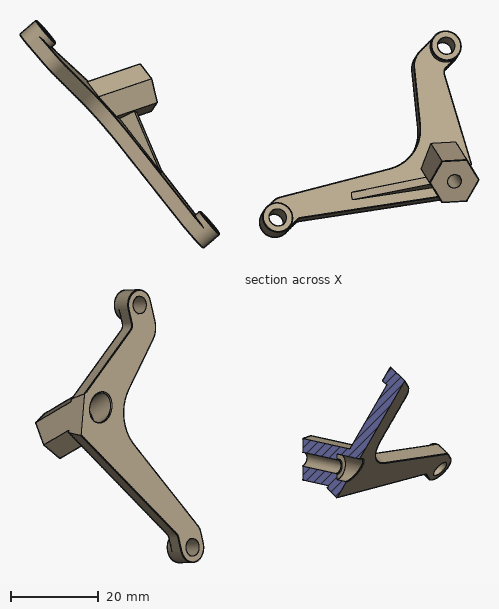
import cadquery as cq
import math

TILT = 32.0
PLATE_THICKNESS = 3.5
EDGE_CHAMFER = 0.15

UPPER_EAR = (-2.7, 26.1)
LOWER_EAR = (40.3, -12.0)
EAR_RADIUS = 3.5
EAR_THICKNESS = 5.0
EAR_HOLE_DIAMETER = 4.0
EAR_FLANK_ANGLE = 41.0

UPPER_ARM_INNER_X = 5.0
INNER_CORNER = (UPPER_ARM_INNER_X, -0.05)
LOWER_ARM_TOP_SLOPE = -0.2
LEFT_EDGE_FOOT = (-5.75, 0.0)
LEFT_EDGE_SLOPE = 5.2
BOTTOM_EDGE_SLOPE = -0.095
BOTTOM_EDGE_RISE = -8.8
INNER_CORNER_RADIUS = 10.0
UPPER_SHOULDER_RADIUS = 5.0
LOWER_SHOULDER_RADIUS = 3.25
NECK_RADIUS = 1.5

HEX_FLATS = 10.0
HEX_BACK_Y = 14.7
HEX_CORNER_DIAMETER = HEX_FLATS / math.cos(math.radians(30))
BOLT_HOLE_DIAMETER = 3.2
COUNTERBORE_DIAMETER = 6.0
COUNTERBORE_FLOOR_Y = 4.6
HOLE_CHAMFER = 0.2

RIB_WIDTH = 1.8
RIB_INSET = 2.4
RIB_END_X = 22.45
RIB_TIP_HEIGHT = 0.05
RIB_ROOT_X = HEX_CORNER_DIAMETER / 2
RIB_ROOT_HEIGHT = 3.65
RIB_TIP_RADIUS = 0.4

REACH = 100.0


def plate_plane(height=0.0):
    """Plane parallel to the plate, the given height behind its front face."""
    tilt = math.radians(TILT)
    normal = (0, math.cos(tilt), math.sin(tilt))
    origin = tuple(height * part for part in normal)
    return cq.Plane(origin=origin, xDir=(-1, 0, 0), normal=normal)


def on_plate(points):
    return [(-across, up) for across, up in points]


def crossing(start, slope, other_start, other_slope):
    """Point where two sloped lines meet."""
    x = other_start[1] - start[1] + slope * start[0] - other_slope * other_start[0]
    x /= slope - other_slope
    return x, start[1] + slope * (x - start[0])


def flank_point(ear, side):
    """Point where the ear circle meets its upper (+1) or lower (-1) flank."""
    angle = math.radians(EAR_FLANK_ANGLE)
    return (
        ear[0] + side * EAR_RADIUS * math.sin(angle),
        ear[1] + side * EAR_RADIUS * math.cos(angle),
    )


def bottom_edge(x, inset=0.0):
    return x, BOTTOM_EDGE_RISE + BOTTOM_EDGE_SLOPE * x + inset


def plate_prism(points, height=PLATE_THICKNESS, base=0.0):
    return cq.Workplane(plate_plane(base)).polyline(on_plate(points)).close().extrude(height)


def plate_disc(center, radius, height):
    return cq.Workplane(plate_plane()).pushPoints(on_plate([center])).circle(radius).extrude(height)


def round_corner(body, corner, radius):
    """Fillet the plate's through-thickness edge at one outline corner."""
    middle = plate_plane(PLATE_THICKNESS / 2).toWorldCoords(on_plate([corner])[0])
    return body.edges(cq.selectors.NearestToPointSelector(middle.toTuple())).fillet(radius)


def socket_lower_left_cutter():
    """Everything outside the socket's lower-left flat, carried on along Y."""
    angle = math.radians(60)
    vertex = (-HEX_CORNER_DIAMETER / 2, 0)
    run = (REACH * math.cos(angle), REACH * math.sin(angle))
    upper = (vertex[0] - run[0], run[1])
    lower = (vertex[0] + run[0], -run[1])
    corner = (upper[0], lower[1])
    return cq.Workplane("XZ").polyline([upper, lower, corner]).close().extrude(REACH / 2, both=True)


def make_plate():
    flank_slope = -math.tan(math.radians(EAR_FLANK_ANGLE))
    upper_top = flank_point(UPPER_EAR, 1)
    upper_bottom = flank_point(UPPER_EAR, -1)
    lower_top = flank_point(LOWER_EAR, 1)
    lower_bottom = flank_point(LOWER_EAR, -1)

    upper_shoulder = (
        UPPER_ARM_INNER_X,
        upper_top[1] + flank_slope * (UPPER_ARM_INNER_X - upper_top[0]),
    )
    lower_shoulder = crossing(INNER_CORNER, LOWER_ARM_TOP_SLOPE, lower_top, flank_slope)
    lower_neck = crossing(bottom_edge(0), BOTTOM_EDGE_SLOPE, lower_bottom, flank_slope)
    upper_neck = crossing(LEFT_EDGE_FOOT, LEFT_EDGE_SLOPE, upper_bottom, flank_slope)
    outer_corner = crossing(LEFT_EDGE_FOOT, LEFT_EDGE_SLOPE, bottom_edge(0), BOTTOM_EDGE_SLOPE)

    plate = plate_prism(
        [
            upper_top,
            upper_shoulder,
            INNER_CORNER,
            lower_shoulder,
            lower_top,
            LOWER_EAR,
            lower_bottom,
            lower_neck,
            outer_corner,
            upper_neck,
            upper_bottom,
            UPPER_EAR,
        ]
    )
    plate = round_corner(plate, INNER_CORNER, INNER_CORNER_RADIUS)
    plate = round_corner(plate, upper_shoulder, UPPER_SHOULDER_RADIUS)
    plate = round_corner(plate, lower_shoulder, LOWER_SHOULDER_RADIUS)
    for corner in (upper_neck, lower_neck):
        plate = round_corner(plate, corner, NECK_RADIUS)
    for ear in (UPPER_EAR, LOWER_EAR):
        plate = plate.union(plate_disc(ear, EAR_RADIUS, PLATE_THICKNESS))
    plate = plate.clean()
    plate_faces = cq.selectors.ParallelDirSelector(plate_plane().zDir)
    plate = plate.faces(plate_faces).edges().chamfer(EDGE_CHAMFER)
    return plate.cut(socket_lower_left_cutter())


def make_ear(center):
    ear = plate_disc(center, EAR_RADIUS, EAR_THICKNESS)
    end_faces = cq.selectors.ParallelDirSelector(plate_plane().zDir)
    return ear.faces(end_faces).edges().chamfer(EDGE_CHAMFER)


def make_socket():
    prism = (
        cq.Workplane("XZ", origin=(0, HEX_BACK_Y, 0))
        .polygon(6, HEX_CORNER_DIAMETER)
        .extrude(2 * HEX_BACK_Y)
        .faces(">Y")
        .chamfer(EDGE_CHAMFER)
    )
    behind_front_face = cq.Workplane(plate_plane()).rect(REACH, REACH).extrude(REACH)
    return prism.intersect(behind_front_face)


def make_rib():
    footprint = [
        bottom_edge(0, RIB_INSET),
        bottom_edge(RIB_END_X, RIB_INSET),
        bottom_edge(RIB_END_X, RIB_INSET + RIB_WIDTH),
        bottom_edge(0, RIB_INSET + RIB_WIDTH),
    ]
    taper = (RIB_ROOT_HEIGHT - RIB_TIP_HEIGHT) / (RIB_END_X - RIB_ROOT_X)
    inner_height = RIB_TIP_HEIGHT + taper * RIB_END_X
    base = PLATE_THICKNESS / 2
    rib = plate_prism(footprint, PLATE_THICKNESS - base + inner_height, base)
    normal_edges = cq.selectors.ParallelDirSelector(plate_plane().zDir)
    rib = rib.edges(normal_edges).edges(">X").fillet(RIB_TIP_RADIUS)

    side_plane = cq.Plane(
        origin=(0, 0, 0), xDir=(1, 0, 0), normal=plate_plane().yDir
    )
    profile = [
        (0, 0),
        (RIB_END_X, 0),
        (RIB_END_X, PLATE_THICKNESS + RIB_TIP_HEIGHT),
        (0, PLATE_THICKNESS + inner_height),
    ]
    wedge = cq.Workplane(side_plane).polyline(profile).close().extrude(REACH, both=True)
    return rib.intersect(wedge)


def drill_ears(body):
    for ear in (UPPER_EAR, LOWER_EAR):
        body = body.cut(plate_disc(ear, EAR_HOLE_DIAMETER / 2, EAR_THICKNESS))
    return body


def drill_socket(body):
    back = cq.Workplane("XZ", origin=(0, HEX_BACK_Y, 0))
    floor = cq.Workplane("XZ", origin=(0, COUNTERBORE_FLOOR_Y, 0))
    countersink_radius = BOLT_HOLE_DIAMETER / 2 + HOLE_CHAMFER
    body = body.cut(back.circle(BOLT_HOLE_DIAMETER / 2).extrude(2 * HEX_BACK_Y))
    body = body.cut(floor.circle(COUNTERBORE_DIAMETER / 2).extrude(2 * HEX_BACK_Y))
    countersink = cq.Solid.makeCone(
        countersink_radius,
        BOLT_HOLE_DIAMETER / 2,
        HOLE_CHAMFER,
        pnt=cq.Vector(0, COUNTERBORE_FLOOR_Y, 0),
        dir=cq.Vector(0, 1, 0),
    )
    body = body.cut(cq.Workplane(countersink))
    front_face = cq.selectors.DirectionMinMaxSelector(plate_plane().zDir, directionMax=False)
    return body.faces(front_face).edges("%ELLIPSE").chamfer(HOLE_CHAMFER)


body = make_plate().union(make_socket()).union(make_rib())
for ear_center in (UPPER_EAR, LOWER_EAR):
    body = body.union(make_ear(ear_center))
result = drill_socket(drill_ears(body))